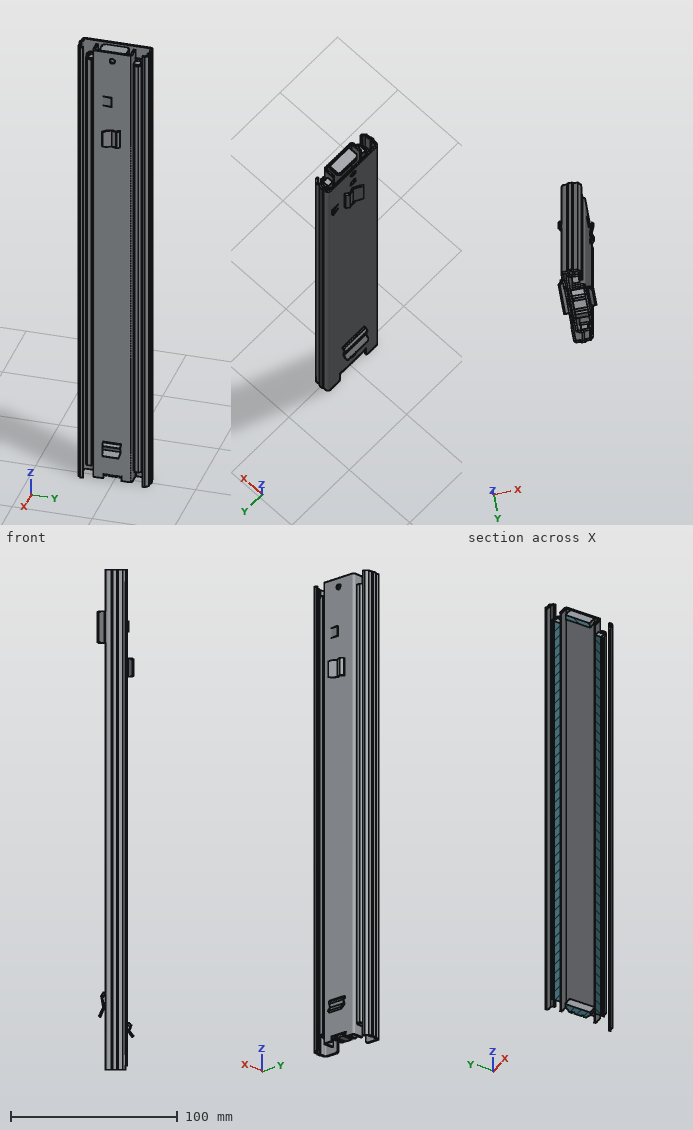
import cadquery as cq


SHEET = 1.2
TOP = 150.0
OUTER_BOTTOM = -TOP
MIDDLE_TOP = 142.5
MIDDLE_BOTTOM = -140.7
INNER_BOTTOM = -147.5
OUTER_BACK = -6.0
OUTER_FRONT = 6.0
OUTER_HALF_WIDTH = 22.0
OUTER_LIP_END = 18.5
MIDDLE_BACK = -4.0
MIDDLE_FRONT = 5.7
MIDDLE_HALF_WIDTH = 17.5
MIDDLE_LIP_END = 13.5
INNER_BACK = -1.0
INNER_FRONT = 7.0
INNER_HALF_WIDTH = 12.3
OUTER_CORNER = 1.8
CORNER = 1.5

GROOVE_DEPTH = 0.5
GROOVE_START = -2.5
GROOVE_END = 1.5
GROOVE_SLOPE = 1.0

HOLE_DIAMETER = 4.5
UPPER_HOLE_Z = 142.8
LOWER_HOLE_Z = -130.2
HOOK_Z = 115.5
ARCH_OFFSET = 15.3
CUTOUT_HALF_WIDTH = 11.5
CUTOUT_TOP = -140.5
CUTOUT_FLARE = 1.0
RELIEF_RADIUS = 1.0
RELIEF_Y = 10.2

OUTER_HOOK_WIDTH = 19.2
UPPER_OUTER_HOOK_Y = 7.8
LOWER_OUTER_HOOK_Z = -103.5
INNER_HOOK_WIDTH = 11.0
UPPER_INNER_HOOK_Y = 5.0
UPPER_INNER_HOOK_Z = 91.2
LOWER_INNER_HOOK_Z = -121.8
HOOK_SHEET = 1.0
HOOK_TIP_TAPER = 1.0
HOOK_TAPER_LENGTH = 2.7
HOOK_TIP_SLANT = 1.0
HOOK_ROOT_RISE = 1.2
HOOK_STEP_HEIGHT = 2.7
HOOK_DIP_HEIGHT = 1.5
UPPER_OUTER_HOOK_BENDS = (2.0, 6.3)
UPPER_OUTER_HOOK_LENGTH = 13.0
UPPER_OUTER_HOOK_REACH = 4.8
LOWER_OUTER_HOOK_BENDS = (2.5, 9.0)
LOWER_OUTER_HOOK_LENGTH = 15.0
LOWER_OUTER_HOOK_REACH = 4.0
INNER_HOOK_BENDS = (1.5, 4.8)
UPPER_INNER_HOOK_LENGTH = 10.8
LOWER_INNER_HOOK_LENGTH = 8.7
INNER_HOOK_REACH = 4.0

CATCH_HEIGHT = 6.3
CATCH_LENGTH = 5.5
CATCH_RISE = 1.0
OUTER_CATCH_Y = 18.5
INNER_CATCH_Y = -0.3
CATCH_Z = 115.8

SIGHT_HOLE_DIAMETER = 3.3
SIGHT_HOLE_Z = 144.3
NOTCH_HALF_WIDTH = 5.7
NOTCH_TOP = -144.5

BLOCK_BACK = -2.0
BLOCK_HALF_WIDTH = 8.5
BLOCK_BOTTOM = 146.5
BLOCK_CHAMFER = 1.2
BUMPER_HALF_WIDTH = 8.7
BUMPER_BOTTOM = -146.0
BUMPER_FACE_X = -2.5
BUMPER_SLOPE_BOTTOM = -142.0
BUMPER_CHAMFER = 3.0
BUMPER_NOTCH_Y = 3.3
BUMPER_NOTCH_WIDTH = 1.5
BUMPER_NOTCH_DEPTH = 1.0
BUMPER_RECESS_WIDTH = 5.5
BUMPER_RECESS_DEPTH = 1.2
BUMPER_RECESS_BOTTOM = -144.5

RETAINER_BACK = -0.5
RETAINER_FRONT = 3.5

INNER_WEB_FACE = INNER_FRONT - SHEET


def box(x_range, y_range, z_range):
    """Box spanning the given ranges."""
    corner = cq.Vector(x_range[0], y_range[0], z_range[0])
    size = [end - start for start, end in (x_range, y_range, z_range)]
    return cq.Workplane(cq.Solid.makeBox(*size, corner))


def cross_hole(diameter, z):
    """Cutter along X for a round hole on the centre line."""
    return cq.Workplane("YZ").center(0, z).circle(diameter / 2).extrude(OUTER_FRONT * 2, both=True)


def lipped_channel(back, front, half_width, lip_end, corner, bottom, top):
    """Channel with its web at the back, grooved flanges and lips turned in at the front.

    The web corners are round and the lip corners are flat bevels of the same size.
    """
    length = (bottom, top)
    envelope = box((back, front), (-half_width, half_width), length)
    envelope = envelope.edges("|Z and <X").fillet(corner)
    envelope = envelope.edges("|Z and >X").chamfer(corner)
    crest = half_width + GROOVE_DEPTH
    grooves = (
        cq.Workplane("XY", origin=(0, 0, bottom))
        .polyline([
            (GROOVE_START, -half_width),
            (GROOVE_START + GROOVE_SLOPE, -crest),
            (GROOVE_END - GROOVE_SLOPE, -crest),
            (GROOVE_END, -half_width),
            (GROOVE_END, half_width),
            (GROOVE_END - GROOVE_SLOPE, crest),
            (GROOVE_START + GROOVE_SLOPE, crest),
            (GROOVE_START, half_width),
        ])
        .close()
        .extrude(top - bottom)
    )
    envelope = envelope.union(grooves)
    cavity = (
        cq.Workplane(envelope.faces("<Z").wires().val().offset2D(-SHEET)[0])
        .toPending()
        .extrude(top - bottom)
    )
    mouth = box((front - SHEET, front), (-lip_end, lip_end), length)
    return envelope.cut(cavity).cut(mouth)


def hook(origin, along, across, width, bends, length, reach):
    """Springy hook that steps off a web, dips slightly and flares out at its tip.

    `along` points from root to tip, `across` is the width direction, and `bends` gives the
    distances along the hook where the root step ends and where the flare starts.
    """
    step_end, flare_start = bends
    outside = [
        (0, 0),
        (0, HOOK_ROOT_RISE),
        (step_end, HOOK_STEP_HEIGHT),
        (flare_start, HOOK_DIP_HEIGHT),
        (length - HOOK_TIP_SLANT, reach),
    ]
    inside = [
        (length, reach - HOOK_SHEET),
        (flare_start, HOOK_DIP_HEIGHT - HOOK_SHEET),
        (step_end + HOOK_SHEET, HOOK_STEP_HEIGHT - HOOK_SHEET),
        (HOOK_SHEET, 0),
    ]
    plane = cq.Plane(origin=origin, xDir=along, normal=across)
    strip = cq.Workplane(plane).polyline(outside + inside).close().extrude(width / 2, both=True)
    taper_start = length - HOOK_TAPER_LENGTH
    for side in (-1, 1):
        edge = side * width / 2
        taper_plane = cq.Plane(origin=origin, xDir=along, normal=plane.yDir)
        taper = (
            cq.Workplane(taper_plane)
            .polyline([(taper_start, edge), (length, edge), (length, edge - side * HOOK_TIP_TAPER)])
            .close()
            .extrude(reach)
        )
        strip = strip.cut(taper)
    return strip


def catch(web_x, outward, start_y):
    """Wedge that rises from the web towards +Y; `outward` is the sign of its X direction."""
    low_y = start_y - CATCH_LENGTH
    return (
        cq.Workplane("XY", origin=(0, 0, CATCH_Z - CATCH_HEIGHT / 2))
        .polyline([(web_x, low_y), (web_x + outward * CATCH_RISE, start_y), (web_x, start_y)])
        .close()
        .extrude(CATCH_HEIGHT)
    )


def arched_window(direction):
    """Cutter for a window beside the upper hook, square towards the hook and round away from it."""
    radius = HOLE_DIAMETER / 2
    centre_z = HOOK_Z + direction * ARCH_OFFSET
    square_z = centre_z - direction * radius
    return (
        cq.Workplane("YZ", origin=(OUTER_BACK, 0, 0))
        .moveTo(-radius, square_z)
        .lineTo(-radius, centre_z)
        .threePointArc((0, centre_z + direction * radius), (radius, centre_z))
        .lineTo(radius, square_z)
        .close()
        .extrude(SHEET)
    )


def end_cutout():
    """Cutter for the flared cutout in the bottom end of the outer web, with corner reliefs."""
    flare_top = OUTER_BOTTOM + CUTOUT_FLARE
    flared_half_width = CUTOUT_HALF_WIDTH + CUTOUT_FLARE
    opening = (
        cq.Workplane("YZ", origin=(OUTER_BACK, 0, 0))
        .polyline([
            (-flared_half_width, OUTER_BOTTOM),
            (-CUTOUT_HALF_WIDTH, flare_top),
            (-CUTOUT_HALF_WIDTH, CUTOUT_TOP),
            (CUTOUT_HALF_WIDTH, CUTOUT_TOP),
            (CUTOUT_HALF_WIDTH, flare_top),
            (flared_half_width, OUTER_BOTTOM),
        ])
        .close()
        .extrude(SHEET)
    )
    reliefs = (
        cq.Workplane("YZ", origin=(OUTER_BACK, 0, 0))
        .pushPoints([(-RELIEF_Y, CUTOUT_TOP), (RELIEF_Y, CUTOUT_TOP)])
        .circle(RELIEF_RADIUS)
        .extrude(SHEET)
    )
    return opening.union(reliefs)


def make_outer_rail():
    rail = lipped_channel(
        OUTER_BACK, OUTER_FRONT, OUTER_HALF_WIDTH, OUTER_LIP_END, OUTER_CORNER, OUTER_BOTTOM, TOP
    )
    for z in (UPPER_HOLE_Z, LOWER_HOLE_Z):
        rail = rail.cut(cross_hole(HOLE_DIAMETER, z))
    for direction in (-1, 1):
        rail = rail.cut(arched_window(direction))
    rail = rail.cut(end_cutout())
    upper_hook = hook(
        (OUTER_BACK, UPPER_OUTER_HOOK_Y, HOOK_Z), (0, -1, 0), (0, 0, -1),
        OUTER_HOOK_WIDTH, UPPER_OUTER_HOOK_BENDS, UPPER_OUTER_HOOK_LENGTH, UPPER_OUTER_HOOK_REACH,
    )
    lower_hook = hook(
        (OUTER_BACK, 0, LOWER_OUTER_HOOK_Z), (0, 0, -1), (0, 1, 0),
        OUTER_HOOK_WIDTH, LOWER_OUTER_HOOK_BENDS, LOWER_OUTER_HOOK_LENGTH, LOWER_OUTER_HOOK_REACH,
    )
    return rail.union(upper_hook).union(lower_hook).union(catch(OUTER_BACK, -1, OUTER_CATCH_Y))


def make_middle_rail():
    return lipped_channel(
        MIDDLE_BACK, MIDDLE_FRONT, MIDDLE_HALF_WIDTH, MIDDLE_LIP_END, CORNER,
        MIDDLE_BOTTOM, MIDDLE_TOP,
    )


def make_inner_rail():
    length = (INNER_BOTTOM, TOP)
    flange_face = INNER_HALF_WIDTH - SHEET
    rail = box((INNER_BACK, INNER_FRONT), (-INNER_HALF_WIDTH, INNER_HALF_WIDTH), length)
    rail = rail.edges("|Z and >X").fillet(CORNER)
    rail = rail.cut(box((INNER_BACK, INNER_WEB_FACE), (-flange_face, flange_face), length))
    rail = rail.cut(cross_hole(SIGHT_HOLE_DIAMETER, SIGHT_HOLE_Z))
    rail = rail.cut(
        box((INNER_BACK, INNER_FRONT), (-NOTCH_HALF_WIDTH, NOTCH_HALF_WIDTH), (INNER_BOTTOM, NOTCH_TOP))
    )
    upper_hook = hook(
        (INNER_FRONT, UPPER_INNER_HOOK_Y, UPPER_INNER_HOOK_Z), (0, -1, 0), (0, 0, 1),
        INNER_HOOK_WIDTH, INNER_HOOK_BENDS, UPPER_INNER_HOOK_LENGTH, INNER_HOOK_REACH,
    )
    lower_hook = hook(
        (INNER_FRONT, 0, LOWER_INNER_HOOK_Z), (0, 0, -1), (0, -1, 0),
        INNER_HOOK_WIDTH, INNER_HOOK_BENDS, LOWER_INNER_HOOK_LENGTH, INNER_HOOK_REACH,
    )
    return rail.union(upper_hook).union(lower_hook).union(catch(INNER_FRONT, 1, INNER_CATCH_Y))


def make_block():
    """Block on the inner web at the top end."""
    block = box((BLOCK_BACK, INNER_WEB_FACE), (-BLOCK_HALF_WIDTH, BLOCK_HALF_WIDTH), (BLOCK_BOTTOM, TOP))
    return block.edges("|Z and <X").chamfer(BLOCK_CHAMFER)


def make_bumper():
    """Bumper below the middle rail's web, with a sloping upper face and a lobed lower edge."""
    bumper = (
        cq.Workplane("XZ")
        .polyline([
            (MIDDLE_BACK, MIDDLE_BOTTOM),
            (INNER_WEB_FACE, MIDDLE_BOTTOM),
            (INNER_WEB_FACE, BUMPER_BOTTOM),
            (BUMPER_FACE_X, BUMPER_BOTTOM),
            (BUMPER_FACE_X, BUMPER_SLOPE_BOTTOM),
        ])
        .close()
        .extrude(BUMPER_HALF_WIDTH, both=True)
    )
    bumper = bumper.faces("<Z").edges("|X").chamfer(BUMPER_CHAMFER)
    for y in (-BUMPER_NOTCH_Y, BUMPER_NOTCH_Y):
        sides = (y - BUMPER_NOTCH_WIDTH / 2, y + BUMPER_NOTCH_WIDTH / 2)
        heights = (BUMPER_BOTTOM, BUMPER_BOTTOM + BUMPER_NOTCH_DEPTH)
        bumper = bumper.cut(box((BUMPER_FACE_X, INNER_WEB_FACE), sides, heights))
    recess = box(
        (BUMPER_FACE_X, BUMPER_FACE_X + BUMPER_RECESS_DEPTH),
        (-BUMPER_RECESS_WIDTH / 2, BUMPER_RECESS_WIDTH / 2),
        (BUMPER_RECESS_BOTTOM, BUMPER_SLOPE_BOTTOM),
    )
    return bumper.cut(recess)


def make_retainer(side):
    """Strip filling the gap between the middle and inner flanges on one side of the slide."""
    near = side * INNER_HALF_WIDTH
    far = side * (MIDDLE_HALF_WIDTH - SHEET)
    return box(
        (RETAINER_BACK, RETAINER_FRONT), (min(near, far), max(near, far)), (MIDDLE_BOTTOM, MIDDLE_TOP)
    )


outer_rail = make_outer_rail()
middle_rail = make_middle_rail()
inner_rail = make_inner_rail()
block = make_block()
bumper = make_bumper()
retainers = [make_retainer(side) for side in (-1, 1)]

result = cq.Compound.makeCompound([
    outer_rail.val(),
    middle_rail.val(),
    inner_rail.val(),
    block.val(),
    bumper.val(),
    *[retainer.val() for retainer in retainers],
])